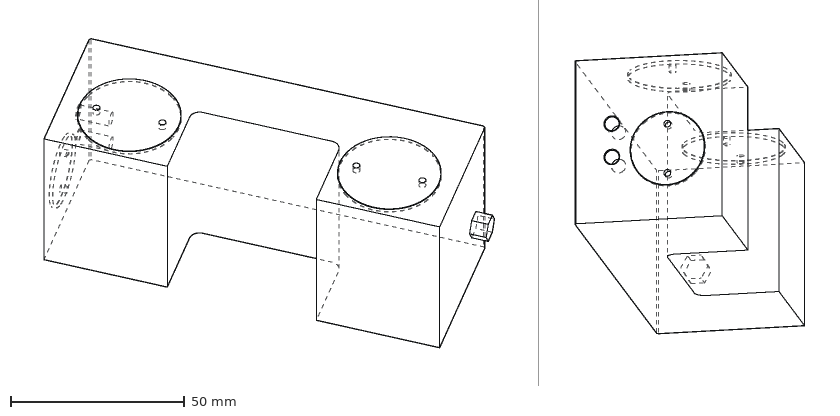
import math

import cadquery as cq

block_length = 120.0
block_width = 43.5
overall_height = 49.0
cover_raise = 0.1
block_height = overall_height - cover_raise
back_chamfer = 0.5

notch_width = 45.2
notch_depth = 24.3
notch_radius = 3.0

groove_width = 0.1
groove_depth = 1.0
key_hole_diameter = 2.0
key_hole_depth = 2.0
drill_point_angle = 118

top_cover_diameter = 29.8
top_cover_spacing = 78.8
top_cover_y = 16.8
top_key_spacing = 20.0

side_cover_diameter = 21.8
side_cover_y = 16.1
side_cover_z = 21.1
side_key_spacing = 14.8

port_diameter = 4.1
port_depth = 10.0
port_chamfer = 0.3
port_y = 32.5
port_spacing = 10.0

overall_length = 125.1
plug_length = overall_length - cover_raise - block_length
plug_corner_diameter = 8.0

block_middle_x = block_length / 2
lower_port_z = block_height / 2 - port_spacing / 2


def make_bar():
    """Rectangular bar with chamfered rear edges and a round-cornered notch in front."""
    bar = cq.Workplane("XY").box(block_length, block_width, block_height, centered=False)
    bar = bar.edges("|Z and >Y").chamfer(back_chamfer)
    notch = (
        cq.Workplane("XY")
        .center(block_middle_x, notch_depth / 2)
        .rect(notch_width, notch_depth)
        .extrude(block_height)
        .edges("|Z and >Y")
        .fillet(notch_radius)
    )
    return bar.cut(notch)


def top_face(x, y):
    """Workplane at a point of the top face, facing +Z, with its local X along +X."""
    return cq.Workplane(cq.Plane(origin=(x, y, block_height), xDir=(1, 0, 0), normal=(0, 0, 1)))


def left_face(y, z):
    """Workplane at a point of the -X face, facing -X, with its local X along +Z."""
    return cq.Workplane(cq.Plane(origin=(0, y, z), xDir=(0, 0, 1), normal=(-1, 0, 0)))


def key_hole(face, offset):
    """Blind hole with a conical drill point, offset along the face's local X."""
    radius = key_hole_diameter / 2
    point_depth = radius / math.tan(math.radians(drill_point_angle / 2))
    hole = face.center(offset, 0).circle(radius).extrude(-key_hole_depth)
    point = cq.Solid.makeCone(
        radius,
        0,
        point_depth,
        pnt=face.plane.toWorldCoords((offset, 0, -key_hole_depth)),
        dir=-face.plane.zDir,
    )
    return hole.union(cq.Workplane(point))


def add_cover(body, face, diameter, key_spacing):
    """Raise a cover, outline it with its ring groove and drill its two key holes."""
    inner_radius = diameter / 2
    groove = face.circle(inner_radius + groove_width).circle(inner_radius).extrude(-groove_depth)
    body = body.cut(groove).union(face.circle(inner_radius).extrude(cover_raise))
    for offset in (-key_spacing / 2, key_spacing / 2):
        body = body.cut(key_hole(face.workplane(offset=cover_raise), offset))
    return body


def cut_port(body, face):
    """Drill a blind port with a small chamfer at its mouth."""
    radius = port_diameter / 2
    bore = face.circle(radius).extrude(-port_depth)
    mouth = face.circle(radius + port_chamfer).workplane(offset=-port_chamfer).circle(radius).loft()
    return body.cut(bore).cut(mouth)


def make_block():
    body = make_bar()
    for side in (-1, 1):
        cover_x = block_middle_x + side * top_cover_spacing / 2
        body = add_cover(body, top_face(cover_x, top_cover_y), top_cover_diameter, top_key_spacing)
    body = add_cover(body, left_face(side_cover_y, side_cover_z), side_cover_diameter, side_key_spacing)
    for port_z in (lower_port_z, lower_port_z + port_spacing):
        body = cut_port(body, left_face(port_y, port_z))
    return body


def make_plug():
    """Hexagonal plug with two corners pointing along Y."""
    face = cq.Workplane("YZ", origin=(block_length, port_y, lower_port_z))
    return face.polygon(6, plug_corner_diameter).extrude(plug_length)


block = make_block()
plug = make_plug()

result = cq.Compound.makeCompound([block.val(), plug.val()])